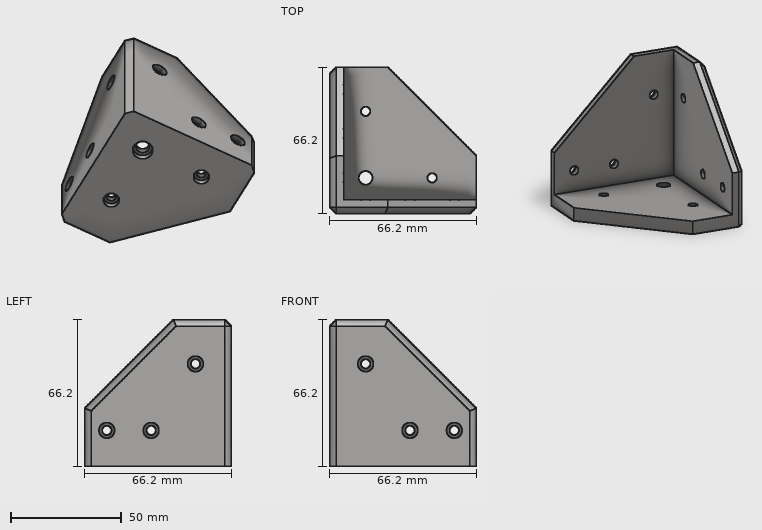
import cadquery as cq
import math

side = 66.25
wall = 6.3
bevel = 3.0
diagonal_run = 40.0
short_edge = side - diagonal_run

hole_pitch = 20.0
near = 16.2
middle = near + hole_pitch
far = near + 2 * hole_pitch
upper = near + 1.5 * hole_pitch

screw_hole = 4.1
screw_head = 7.1
corner_hole = 6.1
corner_head = 9.1
seat_depth = 3.0

plate_outline = [
    (0, 0),
    (side, 0),
    (side, short_edge),
    (short_edge, side),
    (0, side),
]

FLOOR = ("XY", 1)
FRONT = ("XZ", -1)
LEFT = ("YZ", 1)


def prism(plate, depth):
    """Plate outline extruded inward from the outer face."""
    plane, inward = plate
    return cq.Workplane(plane).polyline(plate_outline).close().extrude(inward * depth)


def counterbores(plate, positions, hole, head):
    """Stepped hole cutters entering from the outer face of a plate."""
    plane, inward = plate
    points = cq.Workplane(plane).pushPoints(positions)
    shafts = points.circle(hole / 2).extrude(inward * wall)
    seats = points.circle(head / 2).extrude(inward * seat_depth)
    return shafts.union(seats)


def beveled_envelope(plate, outer_face):
    """Full-depth prism with every outer-face edge beveled except the one on the ground."""
    return prism(plate, side).faces(outer_face).edges("not <Z").chamfer(bevel)


def corner_tip():
    """Wedge that bevels the top outer corner with a triangular facet, equally inclined to all axes."""
    leg = 2 * bevel
    diagonal_plane = cq.Plane(origin=(0, 0, side), xDir=(1, 1, 0), normal=(1, -1, 0))
    profile = [(0, 0), (leg / math.sqrt(2), 0), (0, -leg)]
    return cq.Workplane(diagonal_plane).polyline(profile).close().extrude(leg, both=True)


bracket = prism(FLOOR, wall).union(prism(FRONT, wall)).union(prism(LEFT, wall))
bracket = bracket.intersect(beveled_envelope(FRONT, "<Y"))
bracket = bracket.intersect(beveled_envelope(LEFT, "<X"))
bracket = bracket.cut(corner_tip())

wall_holes = [(near, upper), (middle, near), (far, near)]
for wall_plate in (FRONT, LEFT):
    bracket = bracket.cut(counterbores(wall_plate, wall_holes, screw_hole, screw_head))

floor_holes = [(near, upper), (upper, near)]
bracket = bracket.cut(counterbores(FLOOR, floor_holes, screw_hole, screw_head))
bracket = bracket.cut(counterbores(FLOOR, [(near, near)], corner_hole, corner_head))

result = bracket